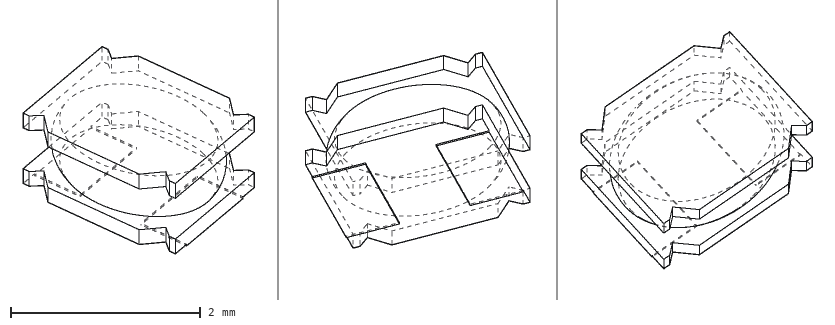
import cadquery as cq

length = 2.0
width = 1.6
height = 0.97

flange_thickness = 0.2
pad_thickness = 0.02
pad_length = 0.6
pad_width = 1.0

side_edge_half = 0.7
end_edge_half = 0.6
horn_tip_x = 0.92
notch_x = 0.8
notch_y = 0.6

barrel_neck_length = 1.8
barrel_neck_width = 1.4
barrel_bulge = 0.092

flange_top = height - flange_thickness
base_top = pad_thickness + flange_thickness
barrel_height = flange_top - base_top


def make_flange(bottom):
    """Plate with a V notch at each corner."""
    corner = [
        (length / 2, side_edge_half),
        (horn_tip_x, side_edge_half),
        (notch_x, notch_y),
        (end_edge_half, width / 2),
    ]
    right_half = [(x, -y) for x, y in reversed(corner)] + corner
    left_half = [(-x, -y) for x, y in right_half]
    return (
        cq.Workplane("XY", origin=(0, 0, bottom))
        .polyline(right_half + left_half)
        .close()
        .extrude(flange_thickness)
    )


def make_winding():
    """Elliptical barrel, swelling by the same amount all round at mid height."""
    neck_x = barrel_neck_length / 2
    neck_y = barrel_neck_width / 2
    return (
        cq.Workplane("XY", origin=(0, 0, base_top))
        .ellipse(neck_x, neck_y)
        .workplane(offset=barrel_height / 2)
        .ellipse(neck_x + barrel_bulge, neck_y + barrel_bulge)
        .workplane(offset=barrel_height / 2)
        .ellipse(neck_x, neck_y)
        .loft()
    )


def make_base():
    """Lower flange with a terminal pad under each end, flush with the end face."""
    pad_offset = (length - pad_length) / 2
    pads = (
        cq.Workplane("XY")
        .pushPoints([(-pad_offset, 0), (pad_offset, 0)])
        .rect(pad_length, pad_width)
        .extrude(pad_thickness)
    )
    return make_flange(pad_thickness).union(pads).clean()


base = make_base()
winding = make_winding()
top_flange = make_flange(flange_top)

result = cq.Compound.makeCompound([base.val(), winding.val(), top_flange.val()])